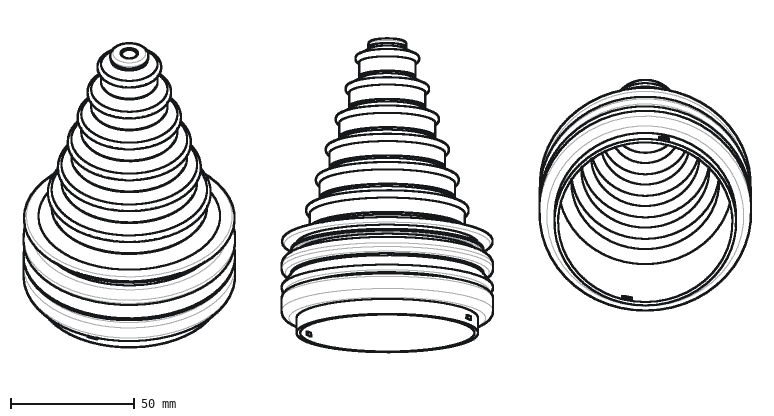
import cadquery as cq
import math

height = 121.0
rib_radius = 86.0 / 2
base_radius = 36.9

tier_count = 6
top_tier_radius = 11.5
bottom_tier_radius = 31.6
tier_radius_step = (bottom_tier_radius - top_tier_radius) / (tier_count - 1)
top_bead_z = 114.0
bottom_bead_z = 51.0
tier_pitch = (top_bead_z - bottom_bead_z) / (tier_count - 1)
top_tier_bore_radius = 20.0 / 2
wall = top_tier_radius - top_tier_bore_radius
band_length = 5.9
neck_depth = 0.7
flank_angle = math.radians(30)
flank_slope = math.tan(flank_angle)

cap_radius = 7.7
cap_round = 1.1
cap_bottom_z = 118.8
cap_neck_radius = 7.5
cap_bore_radius = cap_neck_radius - wall
dimple_radius = 3.5
dimple_floor_radius = 3.0
dimple_depth = 0.5

flange_radius = 42.8
flange_top_z = 39.1
flange_thickness = 2.0
fin_radius = 39.1
fin_top_z = 34.8
fin_thickness = 0.7
fin_root_z = 33.3
fin_lip_radius = 38.1
fin_lip_z = 33.6

large_round = 3.0
small_round = 1.6
upper_rib_top_z = 31.2
upper_rib_bottom_z = 25.0
groove_radius = 39.2
groove_top_z = 24.7
groove_bottom_z = 23.8
middle_rib_z = 19.1
middle_rib_bottom_z = 17.3
collar_radius = 37.4
collar_top_z = 16.6
lower_rib_top_z = 15.9
lower_rib_bottom_z = 6.2

slot_width = 4.1
slot_bottom_z = 2.3
slot_height = 1.5
slot_corner_radius = 0.8


def tier_radius(tier):
    return top_tier_radius + tier * tier_radius_step


def bead_z(tier):
    return top_bead_z - tier * tier_pitch


def flank_start(tier):
    """Crest of the half-round bead, where the conical flank meets it."""
    return tier_radius(tier), bead_z(tier) + wall


def flank_z(tier, radius):
    """Height of the outer flank of a tier, extended to the given radius."""
    start_radius, start_z = flank_start(tier)
    return start_z + (start_radius - radius) * flank_slope


def convex_round(profile, start, end):
    """Add a quarter round between a horizontal and a vertical edge, bulging outward."""
    inner_radius = min(start[0], end[0])
    inner_z = end[1] if start[0] < end[0] else start[1]
    diagonal = math.sqrt(0.5)
    middle = (
        inner_radius + abs(end[0] - start[0]) * diagonal,
        inner_z + (start[1] + end[1] - 2 * inner_z) * diagonal,
    )
    return profile.threePointArc(middle, end)


def add_cap(profile):
    shoulder = (cap_radius - cap_round, height)
    profile = profile.lineTo(dimple_floor_radius, height - dimple_depth)
    profile = profile.lineTo(dimple_radius, height).lineTo(*shoulder)
    profile = convex_round(profile, shoulder, (cap_radius, height - cap_round))
    profile = profile.lineTo(cap_radius, cap_bottom_z).lineTo(cap_neck_radius, cap_bottom_z)
    return profile.lineTo(cap_neck_radius, flank_z(0, cap_neck_radius))


def add_tier(profile, tier):
    radius = tier_radius(tier)
    neck_radius = radius - neck_depth
    band_top_z = bead_z(tier) - wall
    band_bottom_z = band_top_z - band_length
    profile = profile.lineTo(*flank_start(tier))
    profile = profile.threePointArc((radius + wall, bead_z(tier)), (radius, band_top_z))
    profile = profile.lineTo(radius, band_bottom_z).lineTo(neck_radius, band_bottom_z)
    return profile.lineTo(neck_radius, flank_z(tier + 1, neck_radius))


def add_flange_and_fin(profile):
    flange_bottom_z = flange_top_z - flange_thickness
    flange_middle_z = flange_top_z - flange_thickness / 2
    rim_radius = flange_radius - flange_thickness / 2
    profile = profile.lineTo(base_radius, flange_top_z).lineTo(rim_radius, flange_top_z)
    profile = profile.threePointArc((flange_radius, flange_middle_z), (rim_radius, flange_bottom_z))
    profile = profile.lineTo(base_radius, flange_bottom_z)
    profile = profile.lineTo(base_radius, fin_top_z).lineTo(fin_radius, fin_top_z)
    profile = profile.lineTo(fin_radius, fin_top_z - fin_thickness)
    return profile.lineTo(fin_lip_radius, fin_lip_z).lineTo(base_radius, fin_root_z)


def add_ribs(profile):
    large_edge = rib_radius - large_round
    small_edge = rib_radius - small_round

    profile = profile.lineTo(base_radius, upper_rib_top_z).lineTo(large_edge, upper_rib_top_z)
    profile = convex_round(
        profile, (large_edge, upper_rib_top_z), (rib_radius, upper_rib_top_z - large_round)
    )
    round_start = (rib_radius, upper_rib_bottom_z + small_round)
    profile = profile.lineTo(*round_start)
    profile = convex_round(profile, round_start, (small_edge, upper_rib_bottom_z))

    profile = profile.lineTo(groove_radius, groove_top_z).lineTo(groove_radius, groove_bottom_z)
    round_start = (rib_radius, middle_rib_z)
    profile = profile.lineTo(*round_start)
    profile = convex_round(profile, round_start, (small_edge, middle_rib_bottom_z))

    profile = profile.lineTo(base_radius, middle_rib_bottom_z).lineTo(base_radius, collar_top_z)
    profile = profile.lineTo(collar_radius, collar_top_z).lineTo(collar_radius, lower_rib_top_z)
    profile = profile.lineTo(small_edge, lower_rib_top_z)
    profile = convex_round(
        profile, (small_edge, lower_rib_top_z), (rib_radius, lower_rib_top_z - small_round)
    )
    round_start = (rib_radius, lower_rib_bottom_z + large_round)
    profile = profile.lineTo(*round_start)
    profile = convex_round(profile, round_start, (large_edge, lower_rib_bottom_z))
    return profile.lineTo(base_radius, lower_rib_bottom_z)


def make_body():
    profile = cq.Workplane("XZ").moveTo(0, 0).lineTo(0, height - dimple_depth)
    profile = add_cap(profile)
    for tier in range(tier_count):
        profile = add_tier(profile, tier)
    profile = add_flange_and_fin(profile)
    profile = add_ribs(profile)
    profile = profile.lineTo(base_radius, 0).close()
    return profile.revolve(360, (0, 0, 0), (0, 1, 0))


def make_cavity():
    """Stepped bore, open at the base, whose cones run parallel to the outer flanks."""
    ceiling_z = height - dimple_depth - wall
    flank_drop = wall / math.cos(flank_angle)
    bores = [cap_bore_radius]
    bores += [tier_radius(tier) - wall for tier in range(tier_count)]
    bores.append(base_radius - wall)

    profile = cq.Workplane("XZ").moveTo(0, 0).lineTo(0, ceiling_z).lineTo(bores[0], ceiling_z)
    for tier, (upper_bore, lower_bore) in enumerate(zip(bores, bores[1:])):
        profile = profile.lineTo(upper_bore, flank_z(tier, upper_bore) - flank_drop)
        profile = profile.lineTo(lower_bore, flank_z(tier, lower_bore) - flank_drop)
    profile = profile.lineTo(bores[-1], 0).close()
    return profile.revolve(360, (0, 0, 0), (0, 1, 0))


def make_slot():
    """Flat-bottomed slot with rounded upper corners, running along Y."""
    return (
        cq.Workplane("XY", origin=(0, 0, slot_bottom_z))
        .box(slot_width, 2 * rib_radius, slot_height, centered=(True, True, False))
        .edges("|Y and >Z")
        .fillet(slot_corner_radius)
    )


result = make_body().cut(make_cavity()).cut(make_slot())